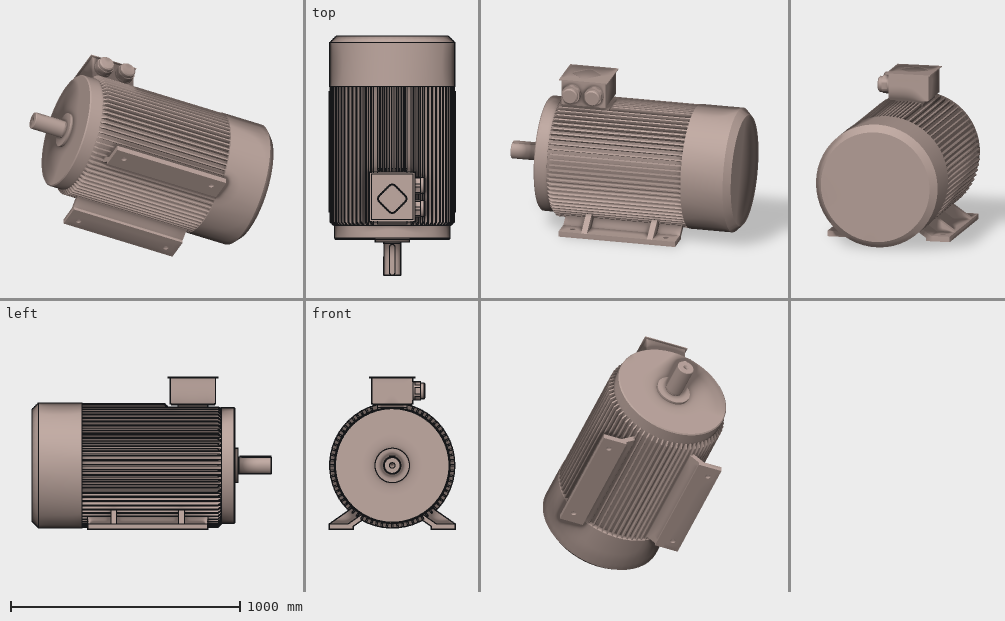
import cadquery as cq
import math


shaft_shoulder_y = 141.0
boss_front_y = 146.0
shield_front_y = 159.0
shield_back_y = 218.0
cover_front_y = 826.0
cover_back_y = 1045.0

shaft_d = 74.0
shaft_end_d = 69.0
collar_d = 75.0
boss_d = 150.0
shield_d = 505.0
shield_face_d = 495.0
cover_d = 547.0
cover_bevel = 29.0
core_d = 500.0
center_hole_d = 24.0
center_hole_angle = 60

key_width = 23.0
key_start_y = 2.0
key_end_y = 137.0
key_top_z = 41.0

fin_count = 72
fin_thickness = 6.0
fin_tip_r = 271.0
fin_bevel = 16.0
short_fin_front_y = 451.0
short_fin_step = 3.3
short_fins_each_side = 4
long_fins_missing_each_side = 3

top_z = 385.0
box_center_y = 343.3
lid_size_x = 199.0
lid_size_y = 217.0
lid_thickness = 4.0
lid_overhang = 9.0
box_size_x = lid_size_x - 2 * lid_overhang
box_bottom_z = 269.0
base_thickness = 4.0
base_inset = 5.0
seat_size_x = 131.0
seat_size_y = 131.0
pad_front_y = 225.0
pad_top_z = 253.0
badge_side = 102.0
badge_corner_r = 21.0
badge_depth = 2.0
badge_wall_angle = 60
badge_center_y = 335.0

gland_d = 80.0
gland_flats = 75.0
gland_cap_d = 70.0
gland_z = 325.0
gland_spacing = 100.8
flats_start_x = 98.0
flats_end_x = 123.0
gland_end_x = 143.0
gland_cap_bevel = 5.0

foot_outer_x = 275.0
foot_inner_x = 169.0
foot_bend_x = 192.0
foot_bottom_z = -279.0
foot_top_z = -255.0
foot_heel_z = -265.0
foot_front_y = 278.0
foot_back_y = 803.0
web_slope = math.tan(math.radians(35))
web_reach_x = 130.0
rib_width = 25.0
rib_spacing = 296.0
rib_reach_x = 178.0
foot_hole_d = 24.0
foot_hole_x = 232.0
foot_hole_spacing = 420.0
foot_center_y = (foot_front_y + foot_back_y) / 2


def disc(diameter, y_from, y_to):
    """Cylinder on the shaft axis between two Y positions."""
    plane = cq.Workplane("XZ", origin=(0, y_from, 0))
    return plane.circle(diameter / 2).extrude(y_from - y_to)


def block(size_x, y_from, y_to, z_from, z_to):
    """Box centred on X = 0."""
    base = cq.Workplane("XY", origin=(0, (y_from + y_to) / 2, z_from))
    return base.rect(size_x, y_to - y_from).extrude(z_to - z_from)


def make_shaft():
    shaft = disc(shaft_d, 0, boss_front_y)
    shaft = shaft.faces("<Y").chamfer((shaft_d - shaft_end_d) / 2)
    shaft = shaft.union(disc(collar_d, shaft_shoulder_y, boss_front_y))
    key = (
        cq.Workplane("XY", origin=(0, (key_start_y + key_end_y) / 2, 0))
        .slot2D(key_end_y - key_start_y, key_width, 90)
        .extrude(key_top_z)
    )
    hole_r = center_hole_d / 2
    hole_depth = hole_r / math.tan(math.radians(center_hole_angle / 2))
    cone = cq.Solid.makeCone(hole_r, 0, hole_depth, cq.Vector(0, 0, 0), cq.Vector(0, 1, 0))
    return shaft.union(key).cut(cq.Workplane(cone))


def make_housing():
    boss = disc(boss_d, boss_front_y, shield_front_y)
    shield = disc(shield_d, shield_front_y, shield_back_y)
    shield = shield.faces("<Y").chamfer((shield_d - shield_face_d) / 2)
    core = disc(core_d, shield_back_y, cover_front_y)
    cover = disc(cover_d, cover_front_y, cover_back_y)
    cover = cover.faces(">Y").chamfer(cover_bevel)
    return boss.union(shield).union(core).union(cover)


def make_fin(front_y):
    """Upright fin above the core, bevelled at its front end."""
    root_z = core_d / 2 - fin_thickness
    profile = (
        cq.Workplane("YZ", origin=(-fin_thickness / 2, 0, 0))
        .moveTo(front_y, root_z)
        .lineTo(front_y, fin_tip_r - fin_bevel)
        .lineTo(front_y + fin_bevel, fin_tip_r)
        .lineTo(cover_front_y, fin_tip_r)
        .lineTo(cover_front_y, root_z)
        .close()
    )
    return profile.extrude(fin_thickness).val()


def turned(shape, angle):
    """Shape rotated about the shaft axis, in degrees."""
    return shape.rotate(cq.Vector(0, 0, 0), cq.Vector(0, 1, 0), angle)


def make_fins():
    """Ring of long fins, open at the top, with closer short fins behind the terminal box."""
    long_fin = make_fin(shield_back_y)
    short_fin = make_fin(short_fin_front_y)
    long_step = 360 / fin_count
    first_long = long_fins_missing_each_side + 1
    long_fins = [turned(long_fin, i * long_step) for i in range(first_long, fin_count - first_long + 1)]
    short_range = range(-short_fins_each_side, short_fins_each_side + 1)
    short_fins = [turned(short_fin, i * short_fin_step) for i in short_range]
    return long_fins + short_fins


def make_terminal_box():
    lid_front_y = box_center_y - lid_size_y / 2
    lid_back_y = box_center_y + lid_size_y / 2
    box_front_y = lid_front_y + lid_overhang
    box_back_y = lid_back_y - lid_overhang
    lid_bottom_z = top_z - lid_thickness
    base_bottom_z = box_bottom_z - base_thickness

    lid = block(lid_size_x, lid_front_y, lid_back_y, lid_bottom_z, top_z)
    badge = (
        cq.Workplane("XY", origin=(0, badge_center_y, top_z))
        .transformed(rotate=(0, 0, 45))
        .placeSketch(cq.Sketch().rect(badge_side, badge_side).vertices().fillet(badge_corner_r))
        .extrude(-badge_depth, taper=badge_wall_angle)
    )
    box = block(box_size_x, box_front_y, box_back_y, box_bottom_z, lid_bottom_z)
    base = block(
        box_size_x - 2 * base_inset,
        box_front_y + base_inset,
        box_back_y - base_inset,
        base_bottom_z,
        box_bottom_z,
    )
    seat_front_y = box_center_y - seat_size_y / 2
    seat = block(seat_size_x, seat_front_y, seat_front_y + seat_size_y, 0, base_bottom_z)
    pad = block(seat_size_x, pad_front_y, short_fin_front_y, 0, pad_top_z)
    return lid.cut(badge).union(box).union(base).union(seat).union(pad)


def make_gland(y):
    """Cable gland along +X with six wrench flats and a bevelled cap."""
    start_x = box_size_x / 2
    body = (
        cq.Workplane("YZ", origin=(start_x, y, gland_z))
        .circle(gland_d / 2)
        .extrude(flats_end_x - start_x)
    )
    outside_hexagon = (
        cq.Workplane("YZ", origin=(flats_start_x, y, gland_z))
        .circle(gland_d)
        .polygon(6, gland_flats, circumscribed=True)
        .extrude(flats_end_x - flats_start_x)
    )
    cap = (
        cq.Workplane("YZ", origin=(flats_end_x, y, gland_z))
        .circle(gland_cap_d / 2)
        .extrude(gland_end_x - flats_end_x)
        .faces(">X")
        .chamfer(gland_cap_bevel)
    )
    return body.cut(outside_hexagon).union(cap)


def make_foot():
    """Foot on the +X side: base plate, sloping web and two ribs."""
    length = foot_back_y - foot_front_y
    plate = (
        cq.Workplane("XZ", origin=(0, foot_back_y, 0))
        .moveTo(foot_outer_x, foot_bottom_z)
        .lineTo(foot_outer_x, foot_top_z)
        .lineTo(foot_bend_x, foot_top_z)
        .lineTo(web_reach_x, foot_top_z + (foot_bend_x - web_reach_x) * web_slope)
        .lineTo(web_reach_x, foot_heel_z + (foot_inner_x - web_reach_x) * web_slope)
        .lineTo(foot_inner_x, foot_heel_z)
        .lineTo(foot_inner_x, foot_bottom_z)
        .close()
        .extrude(length)
    )
    for side in (-1, 1):
        rib_y = foot_center_y + side * rib_spacing / 2
        rib = (
            cq.Workplane("XZ", origin=(0, rib_y + rib_width / 2, 0))
            .moveTo(foot_outer_x, foot_top_z)
            .lineTo(rib_reach_x, foot_top_z + (foot_outer_x - rib_reach_x) * web_slope)
            .lineTo(web_reach_x, foot_top_z + (foot_bend_x - web_reach_x) * web_slope)
            .lineTo(foot_bend_x, foot_top_z)
            .close()
            .extrude(rib_width)
        )
        plate = plate.union(rib)
    holes = (
        cq.Workplane("XY", origin=(foot_hole_x, foot_center_y, foot_bottom_z))
        .rarray(10, foot_hole_spacing, 1, 2)
        .circle(foot_hole_d / 2)
        .extrude(foot_top_z - foot_bottom_z)
    )
    return plate.cut(holes)


foot = make_foot()
parts = [
    make_shaft().val(),
    make_terminal_box().val(),
    make_gland(box_center_y - gland_spacing / 2).val(),
    make_gland(box_center_y + gland_spacing / 2).val(),
    foot.val(),
    foot.mirror("YZ").val(),
]
result = cq.Workplane(make_housing().val().fuse(*make_fins(), *parts))